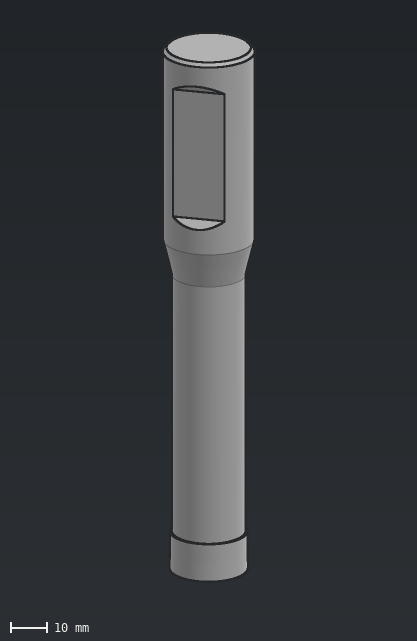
import cadquery as cq

total_length = 156.5
holder_diameter = 25.4
neck_diameter = 20.3

head_tip_diameter = 21.6
head_back_diameter = 21.3
point_height = 3.9
head_height = 14.9

neck_top_z = 90.1
holder_bottom_z = 100.5
top_chamfer = 1.1

flat_depth = 2.3
flat_bottom_z = 110.0
flat_top_z = 147.3

holder_radius = holder_diameter / 2
neck_radius = neck_diameter / 2


def revolve_about_z(profile_points):
    """Revolve a closed (radius, height) outline about the Z axis."""
    outline = cq.Workplane("XZ").polyline(profile_points).close()
    return outline.revolve(360, (0, 0, 0), (0, 1, 0))


def make_clamping_flat_cutter():
    """Trapezoidal prism that removes the flat and its sloping ends."""
    floor_y = flat_depth - holder_radius
    outline = [
        (floor_y, flat_bottom_z),
        (-holder_radius, flat_bottom_z - flat_depth),
        (-holder_radius, flat_top_z + flat_depth),
        (floor_y, flat_top_z),
    ]
    return cq.Workplane("YZ").polyline(outline).close().extrude(holder_radius, both=True)


def make_shank():
    """Neck, conical shoulder and chamfered holder, with the clamping flat cut in."""
    body = revolve_about_z([
        (0, head_height),
        (neck_radius, head_height),
        (neck_radius, neck_top_z),
        (holder_radius, holder_bottom_z),
        (holder_radius, total_length - top_chamfer),
        (holder_radius - top_chamfer, total_length),
        (0, total_length),
    ])
    return body.cut(make_clamping_flat_cutter())


def make_drill_head():
    """Conical point and back-tapered rim, closed by a flat seat for the shank."""
    return revolve_about_z([
        (0, 0),
        (head_tip_diameter / 2, point_height),
        (head_back_diameter / 2, head_height),
        (0, head_height),
    ])


shank = make_shank()
drill_head = make_drill_head()

result = cq.Compound.makeCompound([shank.val(), drill_head.val()])